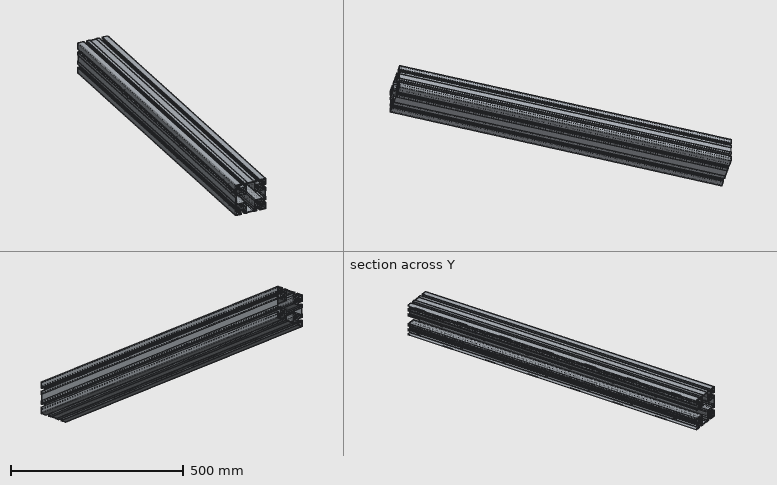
import cadquery as cq

length = 1000.0
side = 100.0
half_side = side / 2
corner_radius = 3.0

recess_width = 20.0
recess_depth = 1.0

outer_wall = 3.5
arm_width = 26.0
core_corner_chamfer = 3.0
arm_half = arm_width / 2

slot_center = 25.0
throat_half = 4.6
mouth_chamfer = 0.7
lip_depth = 5.5
slot_half = 10.0
slot_floor = 13.0
floor_chamfer = 2.4

hollow_end = 13.0
relief_setback = 2.5
relief_reach = 1.0

bore_radius = 4.8
pocket_inner = 2.5
pocket_outer = 9.0
pocket_radius = 1.0
neck_chamfer = 2.0


def prism(points):
    """Extrude a closed (Y, Z) outline over the full length."""
    return cq.Workplane("YZ").polyline(points).close().extrude(length / 2, both=True)


def bar(width, height):
    """Full-length bar centred on the X axis, width along Y and height along Z."""
    return cq.Workplane("YZ").rect(width, height).extrude(length / 2, both=True)


def slot_outline():
    """T-slot that opens through the edge v = 0 of the quadrant."""
    right_side = [
        (throat_half + mouth_chamfer, 0),
        (throat_half, mouth_chamfer),
        (throat_half, lip_depth),
        (slot_half, outer_wall),
        (slot_half, slot_floor - floor_chamfer),
        (slot_half - floor_chamfer, slot_floor),
    ]
    right = [(slot_center + u, v) for u, v in right_side]
    left = [(slot_center - u, v) for u, v in reversed(right_side)]
    return right + left


def corner_hollow():
    """Square hollow whose inner corner is pushed out to a small flat on the diagonal."""
    shoulder = hollow_end - relief_setback
    return prism([
        (outer_wall, outer_wall),
        (hollow_end, outer_wall),
        (hollow_end, shoulder),
        (hollow_end + relief_reach, shoulder + relief_reach),
        (shoulder + relief_reach, hollow_end + relief_reach),
        (shoulder, hollow_end),
        (outer_wall, hollow_end),
    ])


def core_pocket(y_sign, z_sign):
    """Square pocket on one diagonal of the core; the one at the neck has a wide chamfer."""
    size = pocket_outer - pocket_inner
    middle = (pocket_outer + pocket_inner) / 2
    pocket = bar(size, size)
    if y_sign < 0 and z_sign < 0:
        pocket = pocket.edges("|X and <Y and <Z").chamfer(neck_chamfer)
        pocket = pocket.edges("|X and (>Y or >Z)").fillet(pocket_radius)
    else:
        pocket = pocket.edges("|X").fillet(pocket_radius)
    return pocket.translate((0, slot_center + y_sign * middle, slot_center + z_sign * middle))


def quadrant_voids():
    """All slots, hollows and bores of the -Y, -Z quadrant."""
    slot = slot_outline()
    bore = cq.Workplane("YZ").circle(bore_radius).extrude(length / 2, both=True)
    voids = [
        prism(slot),
        prism([(v, u) for u, v in slot]),
        corner_hollow(),
        bore.translate((0, slot_center, slot_center)),
    ]
    for y_sign in (-1, 1):
        for z_sign in (-1, 1):
            voids.append(core_pocket(y_sign, z_sign))
    return [void.translate((0, -half_side, -half_side)) for void in voids]


def central_cavity():
    """Cross that leaves the outer walls and bevels the four core corners."""
    arm_length = side - 2 * outer_wall
    cross = bar(arm_length, arm_width).union(bar(arm_width, arm_length))
    reach = arm_half + outer_wall
    inner_corners = cq.selectors.BoxSelector((-length, -reach, -reach), (length, reach, reach))
    return cross.edges("|X").edges(inner_corners).chamfer(core_corner_chamfer)


def face_recesses():
    """The four shallow strips along the middles of the faces."""
    between_floors = side - 2 * recess_depth
    strips = bar(recess_width, side).union(bar(side, recess_width))
    return strips.cut(bar(between_floors, between_floors))


result = bar(side, side).edges("|X").fillet(corner_radius)
result = result.cut(face_recesses())
result = result.cut(central_cavity())

for void in quadrant_voids():
    upper = void.mirror("XY")
    for copy in (void, upper, void.mirror("XZ"), upper.mirror("XZ")):
        result = result.cut(copy)